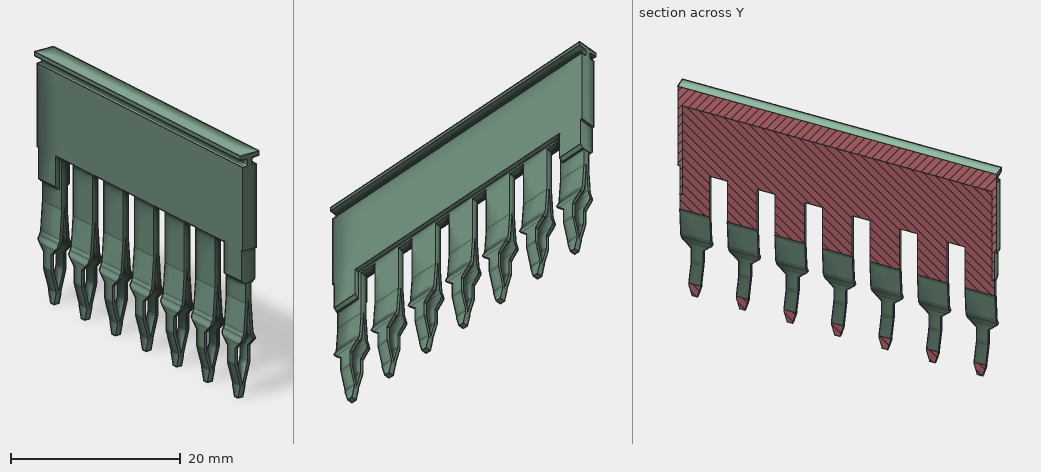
import cadquery as cq

LENGTH = 41.0
TOP = 31.6

HEAD_WIDTH = 2.8
HEAD_EDGE_BOTTOM = 31.08
HEAD_ROOT = 30.95
NECK_WIDTH = 0.65
NECK_RADIUS = 0.25
BLOCK_WIDTH = 2.0
BLOCK_TOP = 30.05
BLOCK_BOTTOM = 19.45

TAB_INSET = 0.25
TAB_WIDTH = 3.45
TAB_BOTTOM = 15.1
TAB_CHAMFER = 0.4
END_WALL = 0.4

FINGER_COUNT = 7
FINGER_PITCH = 6.1
FINGER_WIDTH = 3.85
STRIP_THICKNESS = 0.8
BAR_TOP = 28.7
BAR_BOTTOM = 19.05

SHOULDER_BOTTOM = 6.65
BLADE_WIDTH = 1.5
POINT_START = 1.48
POINT_WIDTH = 0.7

LEAF_THICKNESS = 0.39
SLIT_TOP = 12.8
SPLAY_START = 12.55
KNEE_HALF_WIDTH = 0.7
KNEE_LEVEL = 8.55
KNEE_RADIUS = 1.2
BULGE_HALF_WIDTH = 1.1
BULGE_TOP = 7.87
BULGE_TOP_RADIUS = 1.85
BULGE_BOTTOM = 4.5
BULGE_BOTTOM_RADIUS = 1.0
TIP_HALF_THICKNESS = 0.35
TIP_LEVEL = 1.75
TIP_RADIUS = 0.5

COMB_LENGTH = (FINGER_COUNT - 1) * FINGER_PITCH + FINGER_WIDTH
ENCLOSED_LENGTH = LENGTH - 2 * TAB_INSET - 2 * END_WALL
SHOULDER_TOP = SHOULDER_BOTTOM + (FINGER_WIDTH - BLADE_WIDTH) / 2

LEAF_BENDS = [
    (KNEE_HALF_WIDTH, KNEE_LEVEL, KNEE_RADIUS),
    (BULGE_HALF_WIDTH, BULGE_TOP, BULGE_TOP_RADIUS),
    (BULGE_HALF_WIDTH, BULGE_BOTTOM, BULGE_BOTTOM_RADIUS),
]


def mirrored_prism(plane, right_side, length):
    """Extrude the symmetric outline given by its right side, centred on the plane."""
    left_side = [(-across, level) for across, level in reversed(right_side)]
    outline = cq.Workplane(plane).polyline(right_side + left_side).close()
    return outline.extrude(length / 2, both=True)


def round_edges(body, half_width, level, radius):
    """Round the pair of edges along X at Y = +-half_width on the given level."""
    for y in (-half_width, half_width):
        body = body.edges(cq.selectors.NearestToPointSelector((0, y, level))).fillet(radius)
    return body


def make_rail_and_block():
    head, neck, block = HEAD_WIDTH / 2, NECK_WIDTH / 2, BLOCK_WIDTH / 2
    right_side = [
        (block, BLOCK_BOTTOM),
        (block, BLOCK_TOP),
        (neck, BLOCK_TOP),
        (neck, HEAD_ROOT),
        (head, HEAD_EDGE_BOTTOM),
        (head, TOP),
    ]
    body = mirrored_prism("YZ", right_side, LENGTH)
    body = round_edges(body, neck, BLOCK_TOP, NECK_RADIUS)
    return round_edges(body, neck, HEAD_ROOT, NECK_RADIUS)


def make_tab(side):
    center = side * (LENGTH / 2 - TAB_INSET - TAB_WIDTH / 2)
    right_side = [
        (BLOCK_WIDTH / 2 - TAB_CHAMFER, TAB_BOTTOM),
        (BLOCK_WIDTH / 2, TAB_BOTTOM + TAB_CHAMFER),
        (BLOCK_WIDTH / 2, BLOCK_BOTTOM),
    ]
    return mirrored_prism("YZ", right_side, TAB_WIDTH).translate((center, 0, 0))


def make_spring_profile():
    """Side profile of a finger, as a prism along X with the window between its leaves."""
    strip = STRIP_THICKNESS / 2
    bends = [(half_width, level) for half_width, level, _ in LEAF_BENDS]
    outer = [
        (strip, BAR_BOTTOM),
        (strip, SPLAY_START),
        *bends,
        (TIP_HALF_THICKNESS, TIP_LEVEL),
        (TIP_HALF_THICKNESS, 0),
    ]
    slit = strip - LEAF_THICKNESS
    closing_slope = (BULGE_HALF_WIDTH - TIP_HALF_THICKNESS) / (BULGE_BOTTOM - TIP_LEVEL)
    window_bottom = BULGE_BOTTOM - (BULGE_HALF_WIDTH - LEAF_THICKNESS) / closing_slope
    inner = [
        (slit, SLIT_TOP),
        (slit, SPLAY_START),
        *[(half_width - LEAF_THICKNESS, level) for half_width, level in bends],
    ]
    window_outline = inner + [(0, window_bottom)] + [(-y, z) for y, z in reversed(inner)]
    window = cq.Workplane("YZ").polyline(window_outline).close().extrude(FINGER_WIDTH / 2, both=True)
    leaves = mirrored_prism("YZ", outer, FINGER_WIDTH)
    for half_width, level, radius in LEAF_BENDS:
        leaves = round_edges(leaves, half_width, level, radius)
        window = round_edges(window, half_width - LEAF_THICKNESS, level, radius)
    leaves = round_edges(leaves, TIP_HALF_THICKNESS, TIP_LEVEL, TIP_RADIUS)
    return leaves.cut(window)


def make_finger():
    right_side = [
        (FINGER_WIDTH / 2, BAR_BOTTOM),
        (FINGER_WIDTH / 2, SHOULDER_TOP),
        (BLADE_WIDTH / 2, SHOULDER_BOTTOM),
        (BLADE_WIDTH / 2, POINT_START),
        (POINT_WIDTH / 2, 0),
    ]
    outline = mirrored_prism("XZ", right_side, 2 * BULGE_HALF_WIDTH)
    return make_spring_profile().intersect(outline)


def make_end_notch(side):
    """Space for the housing's end wall, above the visible part of an end finger."""
    height = BAR_TOP - TAB_BOTTOM
    notch = cq.Workplane("XY").box(END_WALL, STRIP_THICKNESS, height)
    x = side * (ENCLOSED_LENGTH + END_WALL) / 2
    return notch.translate((x, 0, TAB_BOTTOM + height / 2))


def make_comb():
    bar_height = BAR_TOP - BAR_BOTTOM
    comb = cq.Workplane("XY").box(COMB_LENGTH, STRIP_THICKNESS, bar_height)
    comb = comb.translate((0, 0, BAR_BOTTOM + bar_height / 2))
    finger = make_finger()
    for index in range(FINGER_COUNT):
        x = (index - (FINGER_COUNT - 1) / 2) * FINGER_PITCH
        comb = comb.union(finger.translate((x, 0, 0)))
    for side in (-1, 1):
        comb = comb.cut(make_end_notch(side))
    return comb


def make_housing(comb):
    """Block, rail and tabs, hollowed to hold the comb."""
    body = make_rail_and_block()
    for side in (-1, 1):
        body = body.union(make_tab(side))
    return body.cut(comb)


comb = make_comb()
housing = make_housing(comb)

result = cq.Compound.makeCompound([housing.solids().val(), comb.solids().val()])